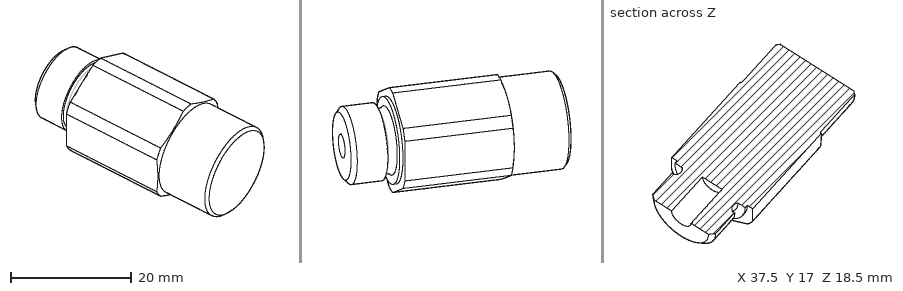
import cadquery as cq
import math

total_length = 37.5
spigot_end = 6.1
collar_start = 7.95
hex_start = 8.5
hex_end = 27.52

spigot_diameter = 13.15
spigot_tip_diameter = 11.45
collar_diameter = 14.75
rear_diameter = 16.5
bore_diameter = 4.0
across_flats = 17.0
hex_turned_diameter = 18.5

spigot_chamfer_length = 0.82
rear_chamfer = 0.52
hex_chamfer_length = 0.3

groove_radius = 1.12
groove_center_x = 7.15
groove_floor_radius = 5.5
groove_lead_in = 0.38

bore_depth = hex_start


def groove_surface_radius(x):
    """Distance from the part axis to the round groove bottom at x."""
    rise = groove_radius - math.sqrt(groove_radius**2 - (x - groove_center_x) ** 2)
    return groove_floor_radius + rise


def revolve_about_x(profile):
    return profile.close().revolve(360, (0, 0, 0), (1, 0, 0))


def make_spigot():
    arc_start = spigot_end + groove_lead_in
    arc_start_radius = groove_surface_radius(arc_start)
    profile = (
        cq.Workplane("XY")
        .moveTo(0, 0)
        .lineTo(0, spigot_tip_diameter / 2)
        .lineTo(spigot_chamfer_length, spigot_diameter / 2)
        .lineTo(spigot_end, spigot_diameter / 2)
        .lineTo(spigot_end, arc_start_radius + groove_lead_in)
        .lineTo(arc_start, arc_start_radius)
        .threePointArc(
            (groove_center_x, groove_floor_radius),
            (collar_start, groove_surface_radius(collar_start)),
        )
        .lineTo(collar_start, collar_diameter / 2)
        .lineTo(hex_start, collar_diameter / 2)
        .lineTo(hex_start, 0)
    )
    return revolve_about_x(profile)


def make_hex_body():
    across_corners = across_flats / math.cos(math.pi / 6)
    prism = (
        cq.Workplane("YZ", origin=(hex_start, 0, 0))
        .transformed(rotate=(0, 0, 90))
        .polygon(6, across_corners)
        .extrude(hex_end - hex_start)
    )
    envelope = revolve_about_x(
        cq.Workplane("XY")
        .moveTo(hex_start, 0)
        .lineTo(hex_start, hex_turned_diameter / 2)
        .lineTo(hex_end - hex_chamfer_length, hex_turned_diameter / 2)
        .lineTo(hex_end, rear_diameter / 2)
        .lineTo(hex_end, 0)
    )
    return prism.intersect(envelope)


def make_rear_cylinder():
    return (
        cq.Workplane("YZ", origin=(hex_end, 0, 0))
        .circle(rear_diameter / 2)
        .extrude(total_length - hex_end)
        .faces(">X")
        .chamfer(rear_chamfer)
    )


def make_bore():
    return cq.Workplane("YZ").circle(bore_diameter / 2).extrude(bore_depth)


result = make_spigot().union(make_hex_body()).union(make_rear_cylinder()).cut(make_bore())